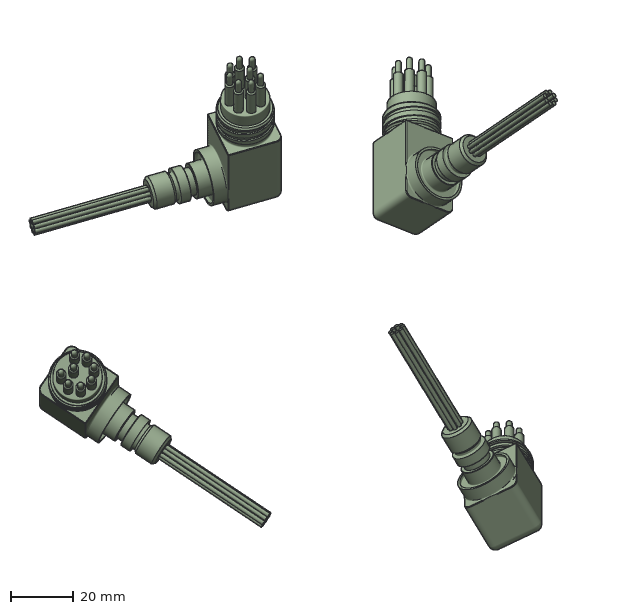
import cadquery as cq
import math


block_side = 19.05
block_height = 28.7
block_fillet = 2.4
block_edge_break = 0.25

root_radius = 17.65 / 2
crest_radius = 18.8 / 2
thread_bottom = 30.15
thread_top = 38.2
thread_pitch = 3.2
thread_ridge = 1.7
thread_phase_height = 31.65
face_radius = 15.9 / 2
face_top = 42.75
face_fillet = 0.25
base_fillet = 0.4

pin_circle_radius = 5.4
key_pin_offset = 1.6
sleeve_radius = 3.15 / 2
sleeve_top = 51.8
shoulder_height = 0.4
pin_radius = 2.0 / 2
pin_tip = 56.9

gland_axis_height = block_side / 2
flange_radius = 18.8 / 2
flange_length = 4.8
recess_radius = 17.15 / 2
recess_depth = 1.2
recess_fillet = 0.25
boss_radius = 11.9 / 2
boss_fillet = (12.7 - 11.9) / 2
boss_end = 8.95
collar_start = 11.3
collar_end = 14.75
groove_radius = 9.4 / 2
collar_break = 0.2
collar_fillet = 0.25
plug_radius = 11.0 / 2
plug_start = 15.9
plug_end = 23.8
plug_chamfer = plug_radius - groove_radius

wire_count = 8
wire_radius = 1.4 / 2
wire_circle_radius = 2.15
overall_length = 82.85
wire_end = overall_length - block_side

block_front = -block_side / 2
overlap = 0.4


def fillet_middle(radius):
    """Distance from a corner to the middle of its concave fillet arc, along either side."""
    return radius * (1 - math.sqrt(0.5))


def elbow_block():
    block = cq.Workplane("XY").box(block_side, block_side, block_height, centered=(True, True, False))
    block = block.edges("(|Z and >Y) or (<Z and (not <Y))").fillet(block_fillet)
    return block.faces("<Y or >Z").edges().chamfer(block_edge_break)


def head_core():
    corner = fillet_middle(base_fillet)
    return (
        cq.Workplane("XZ")
        .moveTo(0, block_height - overlap)
        .lineTo(root_radius + base_fillet, block_height - overlap)
        .lineTo(root_radius + base_fillet, block_height)
        .threePointArc(
            (root_radius + corner, block_height + corner),
            (root_radius, block_height + base_fillet),
        )
        .lineTo(root_radius, thread_top)
        .lineTo(face_radius, thread_top)
        .lineTo(face_radius, face_top - face_fillet)
        .radiusArc((face_radius - face_fillet, face_top), -face_fillet)
        .lineTo(0, face_top)
        .close()
        .revolve(360, (0, 0), (0, 1))
    )


def thread():
    """Helical ridge trimmed to a ring with bevelled ends."""
    start = thread_phase_height - thread_pitch
    turns = math.ceil((thread_top - start) / thread_pitch) + 1
    helix = cq.Wire.makeHelix(thread_pitch, turns * thread_pitch, root_radius)
    ridge = (
        cq.Workplane("XZ")
        .center(root_radius + (crest_radius - root_radius) / 2 - overlap / 2, 0)
        .rect(crest_radius - root_radius + overlap, thread_ridge)
        .sweep(cq.Workplane(helix), isFrenet=True)
        .translate((0, 0, start))
    )
    bevel = crest_radius - root_radius + overlap
    envelope = (
        cq.Workplane("XZ")
        .moveTo(0, thread_bottom)
        .lineTo(root_radius, thread_bottom)
        .lineTo(root_radius + bevel, thread_bottom + bevel)
        .lineTo(root_radius + bevel, thread_top - bevel)
        .lineTo(root_radius, thread_top)
        .lineTo(0, thread_top)
        .close()
        .revolve(360, (0, 0), (0, 1))
    )
    return ridge.intersect(envelope)


def contact_pin(x, y):
    """Insulated sleeve with a conical shoulder and a domed pin."""
    return (
        cq.Workplane("XZ")
        .moveTo(0, face_top - overlap)
        .lineTo(sleeve_radius, face_top - overlap)
        .lineTo(sleeve_radius, sleeve_top)
        .lineTo(pin_radius, sleeve_top + shoulder_height)
        .lineTo(pin_radius, pin_tip - pin_radius)
        .radiusArc((0, pin_tip), -pin_radius)
        .close()
        .revolve(360, (0, 0), (0, 1))
        .translate((x, y, 0))
    )


def contact_pins():
    """One offset pin, and a ring of pins with the place nearest to it left empty."""
    pins = [contact_pin(0, key_pin_offset)]
    for angle in (0, 45, 135, 180, 225, 270, 315):
        x = pin_circle_radius * math.cos(math.radians(angle))
        y = pin_circle_radius * math.sin(math.radians(angle))
        pins.append(contact_pin(x, y))
    return pins


def cable_gland():
    """Turned body; its profile is drawn as (radius, distance from block front)."""
    corner = fillet_middle(base_fillet)
    floor = flange_length - recess_depth
    recess_corner = fillet_middle(recess_fillet)
    boss_corner = fillet_middle(boss_fillet)
    collar_corner = fillet_middle(collar_fillet)
    gland = (
        cq.Workplane("XY")
        .moveTo(0, -overlap)
        .lineTo(flange_radius + base_fillet, -overlap)
        .lineTo(flange_radius + base_fillet, 0)
        .threePointArc((flange_radius + corner, corner), (flange_radius, base_fillet))
        .lineTo(flange_radius, flange_length)
        .lineTo(recess_radius, flange_length)
        .lineTo(recess_radius, floor + recess_fillet)
        .threePointArc(
            (recess_radius - recess_corner, floor + recess_corner),
            (recess_radius - recess_fillet, floor),
        )
        .lineTo(boss_radius + boss_fillet, floor)
        .threePointArc(
            (boss_radius + boss_corner, floor + boss_corner),
            (boss_radius, floor + boss_fillet),
        )
        .lineTo(boss_radius, boss_end - collar_break)
        .lineTo(boss_radius - collar_break, boss_end)
        .lineTo(groove_radius, boss_end)
        .lineTo(groove_radius, collar_start)
        .lineTo(boss_radius - collar_break, collar_start)
        .lineTo(boss_radius, collar_start + collar_break)
        .lineTo(boss_radius, collar_end)
        .lineTo(groove_radius + collar_fillet, collar_end)
        .threePointArc(
            (groove_radius + collar_corner, collar_end + collar_corner),
            (groove_radius, collar_end + collar_fillet),
        )
        .lineTo(groove_radius, plug_start)
        .lineTo(plug_radius, plug_start + plug_chamfer)
        .lineTo(plug_radius, plug_end - plug_chamfer)
        .lineTo(groove_radius, plug_end)
        .lineTo(0, plug_end)
        .close()
        .revolve(360, (0, 0), (0, 1))
        .rotate((0, 0, 0), (0, 0, 1), 180)
        .translate((0, block_front, gland_axis_height))
    )
    limit_length = 2 * (plug_end + block_side)
    side_limit = cq.Workplane("XY").box(block_side, limit_length, block_height, centered=(True, True, False))
    return gland.intersect(side_limit)


def wires():
    return (
        cq.Workplane("XZ", origin=(0, block_front - plug_end + overlap, gland_axis_height))
        .polarArray(wire_circle_radius, 0, 360, wire_count)
        .circle(wire_radius)
        .extrude(wire_end - plug_end + overlap)
    )


result = elbow_block().union(head_core()).union(thread())
for pin in contact_pins():
    result = result.union(pin)
result = result.union(cable_gland()).union(wires())